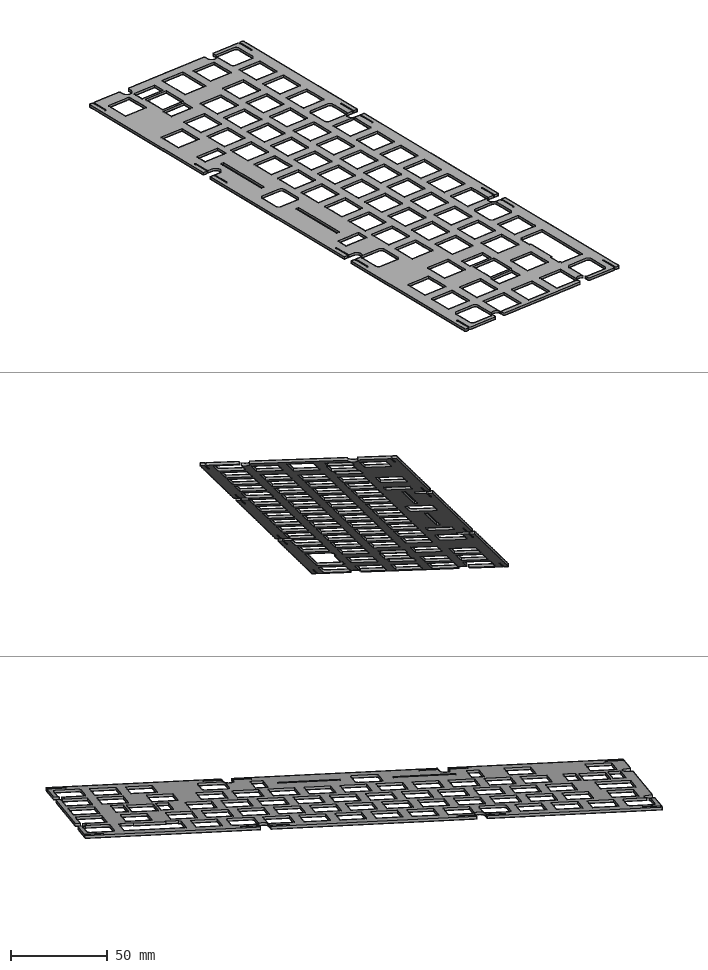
import cadquery as cq

LENGTH = 305.0
WIDTH = 103.8
THICKNESS = 1.5
END_CORNER = 0.5

COLUMNS = 16
ROWS = 5
END_MARGIN = 0.18
PITCH = (LENGTH - 2 * END_MARGIN) / COLUMNS

SWITCH = 14.0
ROUNDED_SWITCH = 14.5
ROUNDED_CORNER = 1.8
CAPS_LOCK_EXTRA_LENGTH = 0.25 * PITCH

STAB_WIDTH = 6.7
STAB_HEIGHT = 14.0
STAB_DROP = 1.0
SPACE_STAB_RISE = 1.2
SHORT_STAB_REACH = 12.0
SPACE_STAB_REACH = 3 * PITCH
BACKSPACE_OPENING = 33.0

SPACE_WINDOW_LENGTH = 33.0
SPACE_WINDOW_WIDTH = 1.8
SPACE_WINDOW_REACH = 30.5

NOTCH_WIDTH = 5.5
LONG_NOTCH_DEPTH = 9.0
SIDE_NOTCH_DEPTH = 5.2
LONG_NOTCH_X = 3 * PITCH
SIDE_NOTCH_Y = 1.5 * PITCH

SLIT_LENGTH = 10.0
SLIT_WIDTH = 0.5
SLIT_INSET = 2.7

SQUARE_KEYS = [
    [1.5, 2.5, 3.5, 5.5, 6.5, 7.5, 8.5, 9.5, 10.5, 12.5],
    [0.75] + list(range(2, 14)) + [14.25, 15.5],
    [2.25 + step for step in range(11)] + [13.875, 15.5],
    [1.125] + [2.75 + step for step in range(10)] + [13.125, 14.5, 15.5],
    [0.75, 3.0, 13.5, 14.5],
]
ROUNDED_KEYS = [(0.5, 0), (4.5, 0), (11.5, 0), (15.5, 0), (7.25, 4), (11.5, 4), (15.5, 4)]
CAPS_LOCK = (0.75, 2)
BACKSPACE = (14.0, 0)
ENTER = (13.875, 2)
LEFT_SHIFT = (1.125, 3)
SPACE_BAR = (7.25, 4)


def key_centre(column, row):
    """Plate position of a key given its column in key units and its row number."""
    return ((column - COLUMNS / 2) * PITCH, ((ROWS - 1) / 2 - row) * PITCH)


def window(length, width, centre):
    """A rectangular cutter through the plate."""
    return cq.Workplane("XY").box(length, width, 2 * THICKNESS).translate((*centre, 0))


def stabilizers(key, reach, drop):
    """A pair of stabilizer cutters on both sides of a key."""
    x, y = key_centre(*key)
    return [window(STAB_WIDTH, STAB_HEIGHT, (x + side * reach, y - drop)) for side in (-1, 1)]


def edge_notch(edge_point, depth, inward_angle):
    """A round-ended notch that runs from a point on the edge into the plate."""
    radius = NOTCH_WIDTH / 2
    straight = depth - radius
    channel = cq.Workplane("XY").box(2 * straight, NOTCH_WIDTH, 2 * THICKNESS)
    end = cq.Workplane("XY").center(straight, 0).circle(radius).extrude(THICKNESS, both=True)
    notch = channel.union(end).rotate((0, 0, 0), (0, 0, 1), inward_angle)
    return notch.translate((*edge_point, 0))


def switch_cutters():
    cutters = []
    for row, columns in enumerate(SQUARE_KEYS):
        for column in columns:
            cutters.append(window(SWITCH, SWITCH, key_centre(column, row)))
    for key in ROUNDED_KEYS:
        opening = window(ROUNDED_SWITCH, ROUNDED_SWITCH, key_centre(*key))
        cutters.append(opening.edges("|Z").fillet(ROUNDED_CORNER))
    cutters.append(window(SWITCH + CAPS_LOCK_EXTRA_LENGTH, SWITCH, key_centre(*CAPS_LOCK)))
    cutters.append(window(BACKSPACE_OPENING, SWITCH, key_centre(*BACKSPACE)))
    return cutters


def stabilizer_cutters():
    cutters = []
    for key in (BACKSPACE, ENTER, LEFT_SHIFT):
        cutters += stabilizers(key, SHORT_STAB_REACH, STAB_DROP)
    cutters += stabilizers(SPACE_BAR, SPACE_STAB_REACH, -SPACE_STAB_RISE)
    return cutters


def space_window_cutters():
    x, y = key_centre(*SPACE_BAR)
    return [
        window(SPACE_WINDOW_LENGTH, SPACE_WINDOW_WIDTH, (x + side * SPACE_WINDOW_REACH, y))
        for side in (-1, 1)
    ]


def edge_cutters():
    cutters = []
    slit_ends = [LENGTH / 2, LONG_NOTCH_X]
    slit_reaches = [SLIT_LENGTH, NOTCH_WIDTH / 2 + SLIT_LENGTH]
    for x_side in (-1, 1):
        for y_side in (-1, 1):
            long_edge_point = (x_side * LONG_NOTCH_X, y_side * WIDTH / 2)
            cutters.append(edge_notch(long_edge_point, LONG_NOTCH_DEPTH, -90 * y_side))
            side_edge_point = (x_side * LENGTH / 2, y_side * SIDE_NOTCH_Y)
            cutters.append(edge_notch(side_edge_point, SIDE_NOTCH_DEPTH, 90 + 90 * x_side))
            slit_y = y_side * (WIDTH / 2 - SLIT_INSET)
            for end, reach in zip(slit_ends, slit_reaches):
                cutters.append(window(2 * reach, SLIT_WIDTH, (x_side * end, slit_y)))
    return cutters


def cut_all(body, cutters):
    """The body less all the cutters, removed in one step."""
    remainder = body.val().cut(*[cutter.val() for cutter in cutters])
    return cq.Workplane("XY").newObject(remainder.Solids())


blank = cq.Workplane("XY").box(LENGTH, WIDTH, THICKNESS)
notched = cut_all(blank, edge_cutters())
softened = notched.faces("<X or >X").edges("|Z").fillet(END_CORNER)
result = cut_all(softened, switch_cutters() + stabilizer_cutters() + space_window_cutters())